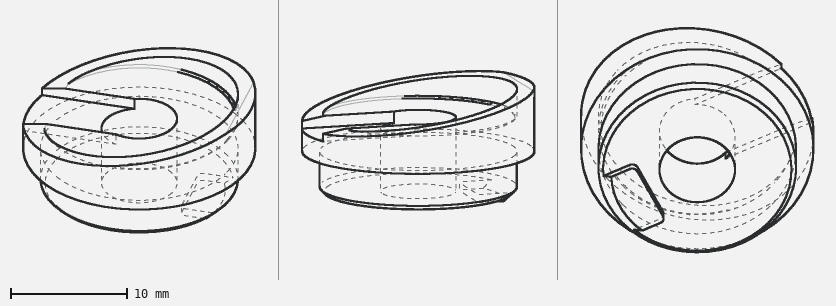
import cadquery as cq
import math

flange_diameter = 20.0
pilot_diameter = 17.0
pilot_depth = 3.5
pilot_chamfer = 0.4
chamfer_angle = 45.0

flange_height = 5.6
top_slope_angle = 9.0
slope_start_x = 9.0

pocket_diameter = pilot_diameter
pocket_floor_z = 3.0
pocket_fillet = 0.2
bore_diameter = 6.5

slot_width = 6.0
slot_floor_z = 2.0

key_width = slot_width
key_height = 0.7
key_inner_x = 4.5
key_corner_radius = 0.5

flange_radius = flange_diameter / 2
pilot_radius = pilot_diameter / 2
pilot_bottom_z = -pilot_depth
key_bottom_z = pilot_bottom_z - key_height
chamfer_top_z = pilot_bottom_z + pilot_chamfer
overall_height = flange_height - key_bottom_z


def sloped_flange():
    """Disc whose top falls toward -X, with a small level land on the +X side."""
    low_z = flange_height - (slope_start_x + flange_radius) * math.tan(math.radians(top_slope_angle))
    side_profile = (
        cq.Workplane("XZ")
        .moveTo(-flange_radius, 0)
        .lineTo(flange_radius, 0)
        .lineTo(flange_radius, flange_height)
        .lineTo(slope_start_x, flange_height)
        .lineTo(-flange_radius, low_z)
        .close()
        .extrude(flange_radius, both=True)
    )
    disc = cq.Workplane("XY").circle(flange_radius).extrude(flange_height)
    return disc.intersect(side_profile)


def pilot():
    """Cylindrical spigot below the flange with a chamfered lower edge."""
    cylinder = cq.Workplane("XY").circle(pilot_radius).extrude(-pilot_depth)
    return cylinder.faces("<Z").edges().chamfer(pilot_chamfer)


def key():
    """Locating key whose outer end continues the 45 degree pilot chamfer."""
    blank_height = chamfer_top_z - key_bottom_z
    block = (
        cq.Workplane("XY", origin=(0, 0, key_bottom_z))
        .moveTo(key_inner_x, -key_width / 2)
        .lineTo(pilot_radius, -key_width / 2)
        .lineTo(pilot_radius, key_width / 2)
        .lineTo(key_inner_x, key_width / 2)
        .close()
        .extrude(blank_height)
        .edges("|Z and <X")
        .fillet(key_corner_radius)
    )
    cone = (
        cq.Workplane("XY", origin=(0, 0, chamfer_top_z))
        .circle(pilot_radius)
        .extrude(-blank_height, taper=chamfer_angle)
    )
    return block.intersect(cone)


def pocket():
    """Round recess in the top, with a small fillet around its floor."""
    cutter = (
        cq.Workplane("XY", origin=(0, 0, pocket_floor_z))
        .circle(pocket_diameter / 2)
        .extrude(flange_height)
    )
    return cutter.faces("<Z").edges().fillet(pocket_fillet)


def slot():
    """Radial channel from the bore out through the -X side."""
    return (
        cq.Workplane("XY", origin=(0, 0, slot_floor_z))
        .center(-flange_radius / 2, 0)
        .rect(flange_radius, slot_width)
        .extrude(flange_height)
    )


def bore():
    """Through hole on the axis."""
    return (
        cq.Workplane("XY", origin=(0, 0, key_bottom_z))
        .circle(bore_diameter / 2)
        .extrude(overall_height)
    )


body = sloped_flange().union(pilot()).union(key())
result = body.cut(pocket()).cut(slot()).cut(bore())